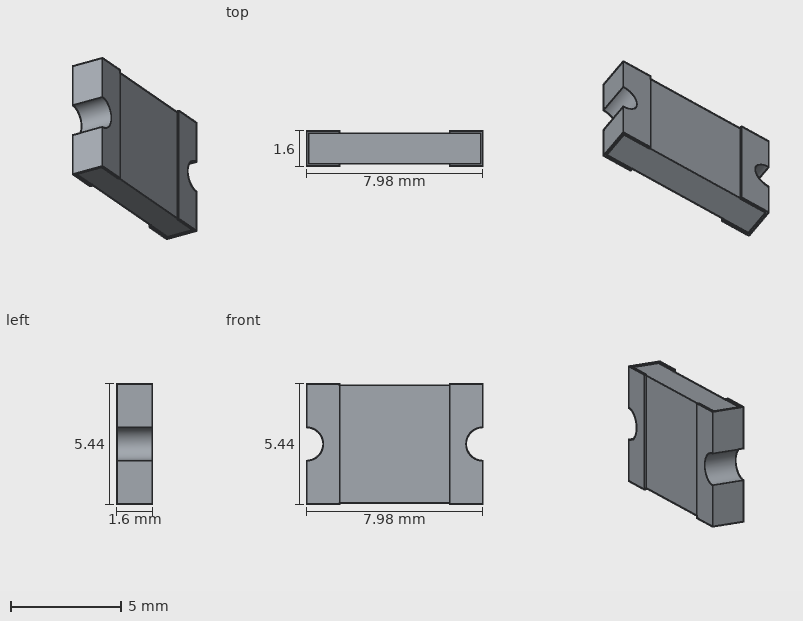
import cadquery as cq

LENGTH = 7.98
THICKNESS = 1.6
HEIGHT = 5.44

TERMINAL_LENGTH = 1.5
WALL = 0.1
BODY_RECESS = 0.05

NOTCH_RADIUS = 0.75

BODY_LENGTH = LENGTH - 2 * WALL
BODY_THICKNESS = THICKNESS - 2 * WALL
BODY_HEIGHT = HEIGHT - 2 * BODY_RECESS


def make_body():
    """Plain rectangular block centred on the origin."""
    return cq.Workplane("XY").box(BODY_LENGTH, BODY_THICKNESS, BODY_HEIGHT)


def make_terminal(side):
    """U-shaped cap around one end of the body, open at top and bottom; side is -1 or +1 along X."""
    center_x = side * (LENGTH - TERMINAL_LENGTH) / 2
    block = cq.Workplane("XY").box(TERMINAL_LENGTH, THICKNESS, HEIGHT).translate((center_x, 0, 0))
    opening = cq.Workplane("XY").box(BODY_LENGTH, BODY_THICKNESS, HEIGHT)
    return block.cut(opening)


def make_notch(side):
    """Cylinder along Y, centred on the end face, passing through the full thickness."""
    return (
        cq.Workplane("XZ")
        .center(side * LENGTH / 2, 0)
        .circle(NOTCH_RADIUS)
        .extrude(THICKNESS / 2, both=True)
    )


result = make_body()
for end in (-1, 1):
    result = result.union(make_terminal(end))
for end in (-1, 1):
    result = result.cut(make_notch(end))